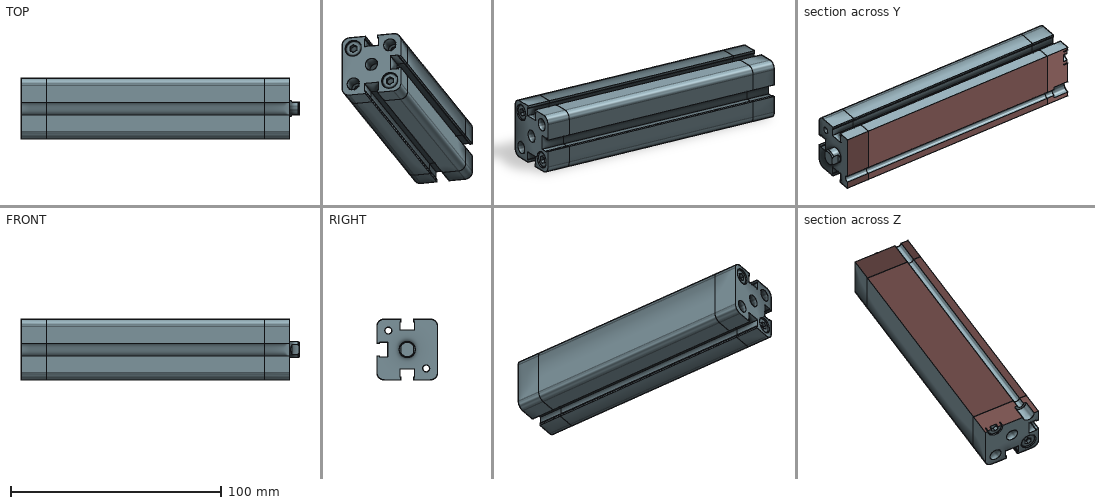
import cadquery as cq
import math

SECTION_SIZE = 29.0
CORNER_RADIUS = 3.6

SLOT_MOUTH_WIDTH = 6.0
SLOT_INNER_WIDTH = 6.9
SLOT_LIP = 1.3
SLOT_DEPTH = 5.2
SLOT_TURNS = (-90, 0, 90)

TOTAL_LENGTH = 132.5
ROD_PROTRUSION = 4.6
CAP_LENGTH = 12.0
BODY_LENGTH = TOTAL_LENGTH - ROD_PROTRUSION
TUBE_LENGTH = BODY_LENGTH - 2 * CAP_LENGTH
FRONT_CAP_START = CAP_LENGTH + TUBE_LENGTH

CORNER_OFFSET = 9.0
THROUGH_CORNERS = ((-CORNER_OFFSET, CORNER_OFFSET), (CORNER_OFFSET, -CORNER_OFFSET))
SCREW_CORNERS = ((CORNER_OFFSET, CORNER_OFFSET), (-CORNER_OFFSET, -CORNER_OFFSET))
THROUGH_HOLE_DIAMETER = 3.2
PORT_DIAMETER = 6.0
PORT_DEPTH = 8.0

SCREW_COUNTERBORE_DIAMETER = 8.0
SCREW_COUNTERBORE_DEPTH = 2.6
SCREW_HEAD_DIAMETER = 7.5
SCREW_HEAD_RECESS = 0.4
SCREW_RIM_RADIUS = 0.5
SOCKET_WIDTH = 3.3
SOCKET_DEPTH = 2.0

ROD_DIAMETER = 7.7
ROD_CHAMFER_LENGTH = 0.8
ROD_CHAMFER_DEPTH = 0.4
ROD_FLATS_WIDTH = 6.1
ROD_FLAT_OFFSET = 1.2


def along_x(x):
    """Workplane facing +X at the given x; its local axes are Y and Z."""
    return cq.Workplane("YZ", origin=(x, 0, 0))


def slot_cutter(x, length):
    """Undercut slot on the -Y side."""
    outer = -SECTION_SIZE / 2
    lip_inner = outer + SLOT_LIP
    floor = outer + SLOT_DEPTH
    half_mouth = SLOT_MOUTH_WIDTH / 2
    half_inner = SLOT_INNER_WIDTH / 2
    return (
        along_x(x)
        .polyline(
            [
                (outer, -half_mouth),
                (lip_inner, -half_mouth),
                (lip_inner, -half_inner),
                (floor, -half_inner),
                (floor, half_inner),
                (lip_inner, half_inner),
                (lip_inner, half_mouth),
                (outer, half_mouth),
            ]
        )
        .close()
        .extrude(length)
    )


def section_block(x, length):
    """Length of the slotted section with the two through holes."""
    block = along_x(x).rect(SECTION_SIZE, SECTION_SIZE).extrude(length)
    block = block.edges("|X").fillet(CORNER_RADIUS)
    slot = slot_cutter(x, length)
    for turn in SLOT_TURNS:
        block = block.cut(slot.rotate((0, 0, 0), (1, 0, 0), turn))
    holes = along_x(x).pushPoints(THROUGH_CORNERS).circle(THROUGH_HOLE_DIAMETER / 2).extrude(length)
    return block.cut(holes)


def screw_recess_cutter():
    """Counterbore on the X axis, less the round-edged screw head that stands on its floor."""
    counterbore = along_x(0).circle(SCREW_COUNTERBORE_DIAMETER / 2).extrude(SCREW_COUNTERBORE_DEPTH)
    head_height = SCREW_COUNTERBORE_DEPTH - SCREW_HEAD_RECESS
    head = along_x(SCREW_HEAD_RECESS).circle(SCREW_HEAD_DIAMETER / 2).extrude(head_height)
    head = head.faces("<X").edges().fillet(SCREW_RIM_RADIUS)
    return counterbore.cut(head)


def hexagon_cutter():
    """Socket on the X axis, with two of its corners on the Z axis."""
    corner_diameter = SOCKET_WIDTH / math.cos(math.radians(30))
    socket = along_x(SCREW_HEAD_RECESS).polygon(6, corner_diameter).extrude(SOCKET_DEPTH)
    return socket.rotate((0, 0, 0), (1, 0, 0), 90)


def make_rear_cap():
    """End cap at X = 0, with the port, the counterbored holes and the screw heads."""
    cap = section_block(0, CAP_LENGTH)

    port_places = ((0, 0), *THROUGH_CORNERS)
    cap = cap.cut(along_x(0).pushPoints(port_places).circle(PORT_DIAMETER / 2).extrude(PORT_DEPTH))

    recess = screw_recess_cutter()
    socket = hexagon_cutter()
    for y, z in SCREW_CORNERS:
        cap = cap.cut(recess.translate((0, y, z)))
        cap = cap.cut(socket.translate((0, y, z)))
    return cap


def make_tube():
    return section_block(CAP_LENGTH, TUBE_LENGTH)


def make_front_cap():
    cap = section_block(FRONT_CAP_START, CAP_LENGTH)
    rod_bore = along_x(FRONT_CAP_START).circle(ROD_DIAMETER / 2).extrude(CAP_LENGTH)
    return cap.cut(rod_bore)


def make_rod():
    """Rod that runs through the front cap, from the tube's end face to the tapered tip."""
    radius = ROD_DIAMETER / 2
    rod = (
        cq.Workplane("XZ")
        .polyline(
            [
                (FRONT_CAP_START, 0),
                (FRONT_CAP_START, radius),
                (TOTAL_LENGTH - ROD_CHAMFER_LENGTH, radius),
                (TOTAL_LENGTH, radius - ROD_CHAMFER_DEPTH),
                (TOTAL_LENGTH, 0),
            ]
        )
        .close()
        .revolve(360, (0, 0, 0), (1, 0, 0))
    )

    half_flats = ROD_FLATS_WIDTH / 2
    flat_start = BODY_LENGTH + ROD_FLAT_OFFSET
    ramp_start = flat_start - (radius - half_flats)
    flat = (
        cq.Workplane("XY")
        .polyline(
            [
                (ramp_start, radius),
                (flat_start, half_flats),
                (TOTAL_LENGTH, half_flats),
                (TOTAL_LENGTH, radius),
            ]
        )
        .close()
        .extrude(radius, both=True)
    )
    return rod.cut(flat).cut(flat.mirror("XZ"))


rear_cap = make_rear_cap()
tube = make_tube()
front_cap = make_front_cap()
rod = make_rod()

result = cq.Compound.makeCompound([rear_cap.val(), tube.val(), front_cap.val(), rod.val()])